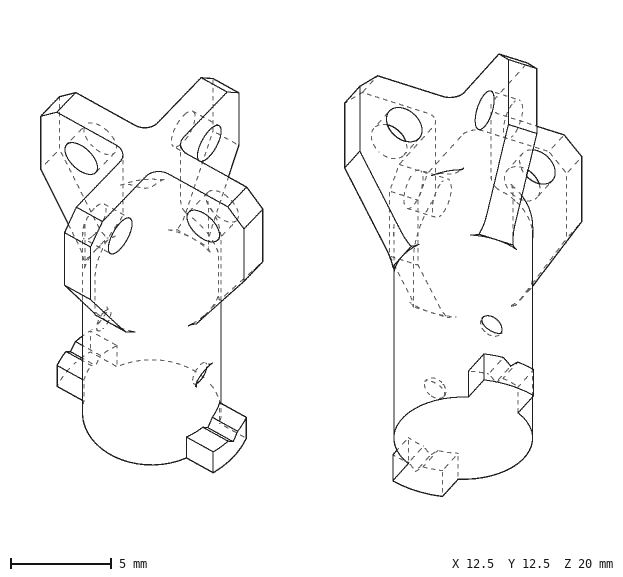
import cadquery as cq

post_diameter = 6.9
shoulder_height = 15.0
dome_radius = 2.0

total_height = 20.0
fin_span = 12.5
fin_thickness = 1.6
fin_bottom = 10.0
fin_side_bottom = 15.0
fin_corner_chamfer = 1.0
fin_root_fillet = 0.8
fin_hole_diameter = 2.0
fin_hole_offset = 3.75
fin_hole_height = 17.5

lug_reach = 5.0
lug_width = 2.8
lug_height = 1.6
notch_depth = 0.4

dimple_diameter = 1.2
dimple_height = 5.0
dimple_depth = 0.5
dimple_rim_fillet = 0.3

post_radius = post_diameter / 2
fin_reach = fin_span / 2
flat_edge_tolerance = 0.01
quarter_turns = (0, 90, 180, 270)
half_turns = (0, 180)


def turned(shape, angle):
    """Turn a shape about the post axis."""
    return shape.rotate((0, 0, 0), (0, 0, 1), angle)


def make_upper_post():
    """Post above the fin bottoms, with its top edge rounded into a dome."""
    post = cq.Workplane("XY", origin=(0, 0, fin_bottom)).circle(post_radius)
    return post.extrude(shoulder_height - fin_bottom).faces(">Z").edges().fillet(dome_radius)


def make_fin_plates():
    """Two full-span plates that cross on the post axis."""
    plates = cq.Workplane("XY", origin=(0, 0, fin_bottom))
    first = plates.rect(fin_span, fin_thickness).extrude(total_height - fin_bottom)
    return first.union(turned(first, 90))


def is_root_edge(edge):
    """True for the rising edges where fins meet each other or the post; the fillet follows on from these."""
    center = edge.Center()
    inside_post = max(abs(center.x), abs(center.y)) < post_radius
    rises = edge.BoundingBox().zlen > flat_edge_tolerance
    return inside_post and rises


def make_head():
    """Upper post and fin plates, blended along all their common edges."""
    head = make_upper_post().union(make_fin_plates())
    roots = [edge for edge in head.edges().vals() if is_root_edge(edge)]
    return head.newObject(roots).fillet(fin_root_fillet)


def make_fin_trim():
    """Material outside the fin outline on the +X side: lower taper and top corner."""
    trim_width = fin_thickness + 2 * fin_root_fillet
    plane = cq.Workplane("XZ")
    taper = plane.polyline([
        (post_radius, fin_bottom),
        (fin_reach, fin_bottom),
        (fin_reach, fin_side_bottom),
    ]).close()
    trim = taper.extrude(trim_width / 2, both=True)
    corner = plane.polyline([
        (fin_reach, total_height),
        (fin_reach, total_height - fin_corner_chamfer),
        (fin_reach - fin_corner_chamfer, total_height),
    ]).close()
    return trim.union(corner.extrude(trim_width / 2, both=True))


def make_fin_hole():
    """Cross hole through the +X fin."""
    axis_start = cq.Workplane("XZ").center(fin_hole_offset, fin_hole_height)
    return axis_start.circle(fin_hole_diameter / 2).extrude(fin_thickness, both=True)


def make_lugs():
    """Both lugs: a bar with round ends and a V notch along its top."""
    bar = cq.Workplane("XY").rect(2 * lug_reach, lug_width).extrude(lug_height)
    round_ends = cq.Workplane("XY").circle(lug_reach).extrude(lug_height)
    notch = cq.Workplane("YZ").polyline([
        (-notch_depth, lug_height),
        (0, lug_height - notch_depth),
        (notch_depth, lug_height),
    ]).close().extrude(lug_reach, both=True)
    return bar.intersect(round_ends).cut(notch)


def make_lower_post():
    """Post below the fins with a blind, round-rimmed dimple on each lug side."""
    post = cq.Workplane("XY").circle(post_radius).extrude(fin_bottom)
    dimple = cq.Workplane("YZ", origin=(post_radius - dimple_depth, 0, dimple_height))
    dimple = dimple.circle(dimple_diameter / 2).extrude(post_radius)
    for angle in half_turns:
        post = post.cut(turned(dimple, angle))
    rim_reach = dimple_depth / 2
    for rim_x in (-post_radius, post_radius):
        rim = cq.selectors.BoxSelector(
            (rim_x - rim_reach, -dimple_diameter, dimple_height - dimple_diameter),
            (rim_x + rim_reach, dimple_diameter, dimple_height + dimple_diameter),
        )
        post = post.edges(rim).fillet(dimple_rim_fillet)
    return post


fin_trim = make_fin_trim()
fin_hole = make_fin_hole()
head = make_head()
for angle in quarter_turns:
    head = head.cut(turned(fin_trim, angle))
    head = head.cut(turned(fin_hole, angle))

result = make_lower_post().union(head).union(make_lugs())